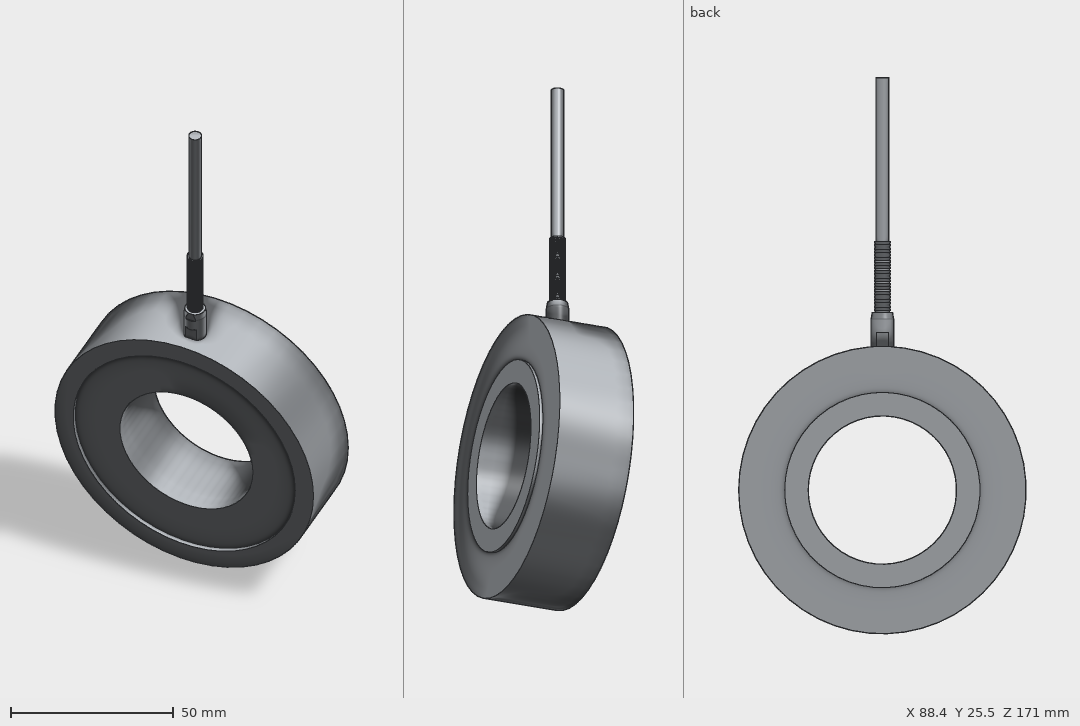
import cadquery as cq

TOTAL_HEIGHT = 171.0

RING_DIAMETER = 88.4
RING_WIDTH = 24.5
BORE_DIAMETER = 45.5
RECESS_DIAMETER = 76.0
RECESS_DEPTH = 1.5
BOSS_DIAMETER = 60.0
BOSS_HEIGHT = 1.0

CABLE_TO_FRONT = 7.7
GLAND_DIAMETER = 7.0
GLAND_TOP_DIAMETER = 6.3
GLAND_HEIGHT = 10.5
GLAND_TAPER_HEIGHT = 2.0
WRENCH_WIDTH = 6.0
WRENCH_HEIGHT = 4.3
TOP_FLAT_OFFSET = 3.0
TOP_FLAT_HEIGHT = 2.5

CABLE_DIAMETER = 4.0
SLEEVE_CORE_DIAMETER = 4.5
RIB_DIAMETER = 5.0
RIB_COUNT = 22
RIB_PITCH = 1.0
RIB_THICKNESS = RIB_PITCH / 2

ring_radius = RING_DIAMETER / 2
ring_front = -CABLE_TO_FRONT
ring_back = ring_front + RING_WIDTH
gland_top = ring_radius + GLAND_HEIGHT
cable_top = TOTAL_HEIGHT - ring_radius


def disc(diameter, y_start, y_end):
    """Cylinder about the Y axis from y_start to y_end."""
    plane = cq.Workplane("XZ", origin=(0, y_start, 0))
    return plane.circle(diameter / 2).extrude(y_start - y_end)


def column(diameter, z_start, z_end):
    """Cylinder about the Z axis from z_start to z_end."""
    plane = cq.Workplane("XY", origin=(0, 0, z_start))
    return plane.circle(diameter / 2).extrude(z_end - z_start)


def beyond_flat(offset, z_start, z_end):
    """Block on the -Y side of the gland, starting at a flat that lies offset from its axis."""
    size = GLAND_DIAMETER
    block = cq.Workplane("XY", origin=(0, -offset - size / 2, z_start))
    return block.rect(size, size).extrude(z_end - z_start)


def make_housing():
    boss_end = ring_back + BOSS_HEIGHT
    housing = disc(RING_DIAMETER, ring_front, ring_back)
    housing = housing.union(disc(BOSS_DIAMETER, ring_back, boss_end))
    housing = housing.cut(disc(RECESS_DIAMETER, ring_front, ring_front + RECESS_DEPTH))
    return housing.cut(disc(BORE_DIAMETER, ring_front, boss_end))


def make_gland():
    gland_bottom = ring_radius - GLAND_DIAMETER / 2
    taper_start = gland_top - GLAND_TAPER_HEIGHT
    gland = column(GLAND_DIAMETER, gland_bottom, taper_start)
    taper = (
        cq.Workplane("XY", origin=(0, 0, taper_start))
        .circle(GLAND_DIAMETER / 2)
        .workplane(offset=GLAND_TAPER_HEIGHT)
        .circle(GLAND_TOP_DIAMETER / 2)
        .loft(ruled=True)
    )
    gland = gland.union(taper)

    wrench_cut = beyond_flat(WRENCH_WIDTH / 2, gland_bottom, ring_radius + WRENCH_HEIGHT)
    gland = gland.cut(wrench_cut).cut(wrench_cut.mirror("XZ"))
    gland = gland.cut(disc(RING_DIAMETER, ring_front, ring_back))
    return gland.cut(beyond_flat(TOP_FLAT_OFFSET, gland_top - TOP_FLAT_HEIGHT, gland_top))


def make_strain_relief():
    """Ribbed sleeve standing on the gland: a thin core with evenly spaced square ribs."""
    sleeve_height = RIB_COUNT * RIB_PITCH
    sleeve = column(SLEEVE_CORE_DIAMETER, gland_top, gland_top + sleeve_height)
    for index in range(RIB_COUNT):
        rib_top = gland_top + (index + 1) * RIB_PITCH
        sleeve = sleeve.union(column(RIB_DIAMETER, rib_top - RIB_THICKNESS, rib_top))
    return sleeve


def make_cable_assembly():
    cable = column(CABLE_DIAMETER, gland_top, cable_top)
    return make_gland().union(make_strain_relief()).union(cable)


housing = make_housing()
cable_assembly = make_cable_assembly()

result = cq.Compound.makeCompound([*housing.solids().vals(), *cable_assembly.solids().vals()])